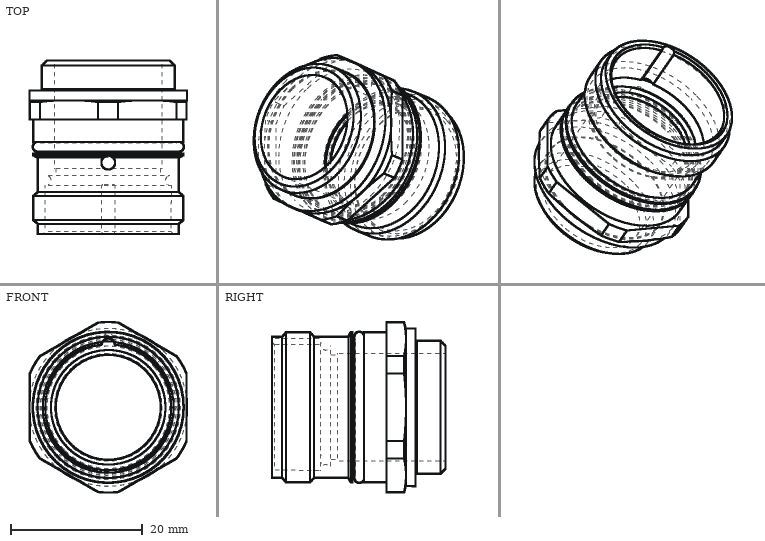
import cadquery as cq
import math

length = 26.4

socket_radius = 10.75
collar_radius = 11.43
flange_radius = 12.0
spigot_radius = 10.15
relief_radius = 10.0
seal_groove_radius = 10.35

rim_end = 1.55
bead_start = 2.15
bead_end = 5.78
waist_start = 6.42
waist_end = 11.62
lip_start = 11.99
lip_end = 12.28
seal_groove_end = 14.0
hex_start = 17.4
hex_end = 20.35
flange_end = 21.85
relief_end = 22.05
spigot_chamfer = 0.8

hex_across_flats = 23.87
hex_corner_diameter = 25.98
hex_chamfer_angle = 15.0

socket_bore_radius = 9.58
socket_bore_chamfer = 0.37
socket_depth = 8.92
throat_radius = 7.97
throat_length = 1.05
spigot_bore_radius = 8.18

outer_ring_section = 0.75
outer_ring_reach = 11.5
inner_ring_section = 0.8
inner_ring_inner_radius = 8.7
ring_seat_overlap = 0.03

plug_radius = 1.05
plug_position = 10.88
plug_depth = 0.53
channel_radius = 1.0
channel_height = 9.45
channel_end = 7.58


def turned(points):
    """Revolve a closed (radius, y) outline around the Y axis."""
    return cq.Workplane("XY").polyline(points).close().revolve(360, (0, 0), (0, 1))


def ring(section_radius, centre_radius, position):
    """O-ring lying around the Y axis."""
    plane = cq.Workplane("XY").transformed(offset=(centre_radius, position, 0), rotate=(0, 0, 180))
    return plane.circle(section_radius).revolve(360, (centre_radius, 0), (centre_radius, 1))


def rod_along_y(radius, start, end, height):
    """Cylinder parallel to the Y axis at the given height."""
    plane = cq.Workplane("XZ", origin=(0, start, height))
    return plane.circle(radius).extrude(start - end)


def outer_body():
    return turned([
        (0, 0),
        (socket_radius, 0),
        (socket_radius, rim_end),
        (collar_radius, bead_start),
        (collar_radius, bead_end),
        (socket_radius, waist_start),
        (socket_radius, waist_end),
        (collar_radius, lip_start),
        (collar_radius, lip_end),
        (seal_groove_radius, lip_end),
        (seal_groove_radius, seal_groove_end),
        (collar_radius, seal_groove_end),
        (collar_radius, hex_end),
        (flange_radius, hex_end),
        (flange_radius, flange_end),
        (relief_radius, flange_end),
        (relief_radius, relief_end),
        (spigot_radius, relief_end),
        (spigot_radius, length - spigot_chamfer),
        (spigot_radius - spigot_chamfer, length),
        (0, length),
    ])


def hexagon():
    """Hexagon with corners on +Z and -Z, rounded and chamfered by turning."""
    corner_radius = hex_corner_diameter / 2
    chamfer_width = corner_radius - flange_radius
    chamfer_height = chamfer_width * math.tan(math.radians(hex_chamfer_angle))
    plane = cq.Workplane("XZ", origin=(0, hex_start, 0))
    prism = plane.polygon(6, hex_across_flats, circumscribed=True).extrude(hex_start - hex_end)
    envelope = turned([
        (0, hex_start),
        (corner_radius, hex_start),
        (corner_radius, hex_end - chamfer_height),
        (flange_radius, hex_end),
        (0, hex_end),
    ])
    return prism.intersect(envelope)


def bore():
    throat_end = socket_depth + throat_length
    return turned([
        (0, 0),
        (socket_bore_radius + socket_bore_chamfer, 0),
        (socket_bore_radius, socket_bore_chamfer),
        (socket_bore_radius, socket_depth),
        (throat_radius, socket_depth),
        (throat_radius, throat_end),
        (spigot_bore_radius, throat_end),
        (spigot_bore_radius, length),
        (0, length),
    ])


def plug_cylinder(bottom, top):
    plane = cq.Workplane("XY", origin=(0, plug_position, bottom))
    return plane.circle(plug_radius).extrude(top - bottom)


outer_ring = ring(
    outer_ring_section,
    outer_ring_reach - outer_ring_section,
    seal_groove_end - outer_ring_section + ring_seat_overlap,
)
inner_ring = ring(
    inner_ring_section,
    inner_ring_inner_radius + inner_ring_section,
    socket_depth - inner_ring_section + ring_seat_overlap,
)

body = outer_body().union(hexagon()).cut(bore())

body = body.cut(plug_cylinder(socket_radius, collar_radius))
body = body.union(plug_cylinder(socket_radius - plug_depth, socket_radius))

body = body.cut(rod_along_y(channel_radius, 0, channel_end, channel_height))

result = body.union(outer_ring).union(inner_ring)